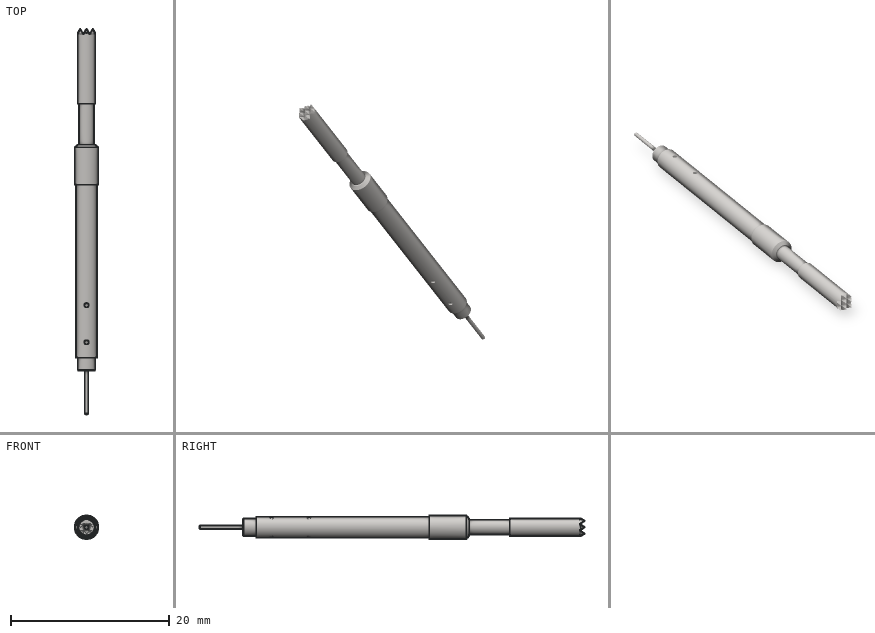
import cadquery as cq
import math


tip_y = 19.7
overall_length = 48.8
head_length = 9.5
collar_length = 5.05
collar_lead_length = 0.35
barrel_length = 21.9
sleeve_length = 1.65
head_y = tip_y - head_length
tail_y = tip_y - overall_length
barrel_y = -barrel_length
sleeve_y = barrel_y - sleeve_length

head_diameter = 2.25
neck_diameter = 1.9
collar_diameter = 3.0
collar_lead_diameter = 2.2
barrel_diameter = 2.7
sleeve_diameter = 2.25
sleeve_chamfer = 0.1
pin_diameter = 0.5
pin_dome_height = 0.15

point_pitch = 0.8
groove_depth = 0.65
groove_count = 4

dimple_diameter = 0.55
dimple_stations = (-15.25, -19.95)


def make_body():
    """Turned body: half profile in the YZ plane, revolved about Y."""
    dome_radius = ((pin_diameter / 2) ** 2 + pin_dome_height**2) / (2 * pin_dome_height)
    dome_half_angle = math.asin(pin_diameter / 2 / dome_radius) / 2
    dome_middle = (
        tail_y + dome_radius * (1 - math.cos(dome_half_angle)),
        dome_radius * math.sin(dome_half_angle),
    )
    profile = (
        cq.Workplane("YZ")
        .moveTo(tail_y, 0)
        .threePointArc(dome_middle, (tail_y + pin_dome_height, pin_diameter / 2))
        .lineTo(sleeve_y, pin_diameter / 2)
        .lineTo(sleeve_y, sleeve_diameter / 2 - sleeve_chamfer)
        .lineTo(sleeve_y + sleeve_chamfer, sleeve_diameter / 2)
        .lineTo(barrel_y, sleeve_diameter / 2)
        .lineTo(barrel_y, barrel_diameter / 2)
        .lineTo(0, barrel_diameter / 2)
        .lineTo(0, collar_diameter / 2)
        .lineTo(collar_length - collar_lead_length, collar_diameter / 2)
        .lineTo(collar_length, collar_lead_diameter / 2)
        .lineTo(collar_length, neck_diameter / 2)
        .lineTo(head_y, neck_diameter / 2)
        .lineTo(head_y, head_diameter / 2)
        .lineTo(tip_y, head_diameter / 2)
        .lineTo(tip_y, 0)
        .close()
    )
    return profile.revolve(360, (0, 0, 0), (1, 0, 0))


def make_tip_grooves():
    """Parallel V grooves along Z that meet at the ridges of the tip."""
    grooves = cq.Workplane("XY")
    for index in range(groove_count):
        center_x = (index - (groove_count - 1) / 2) * point_pitch
        groove = (
            cq.Workplane("XY")
            .moveTo(center_x - point_pitch / 2, tip_y)
            .lineTo(center_x, tip_y - groove_depth)
            .lineTo(center_x + point_pitch / 2, tip_y)
            .close()
            .extrude(head_diameter, both=True)
        )
        grooves = grooves.add(groove)
    return grooves.combine()


def cut_tip(body):
    """Cross the grooves at right angles, leaving pyramid points."""
    grooves = make_tip_grooves()
    crossing_grooves = grooves.rotate((0, 0, 0), (0, 1, 0), 90)
    return body.cut(grooves).cut(crossing_grooves)


def cut_dimples(body):
    """Hemispherical dimples on the +Z and -Z sides of the barrel."""
    for station in dimple_stations:
        for side in (1, -1):
            center = (0, station, side * barrel_diameter / 2)
            dimple = cq.Workplane("XY", origin=center).sphere(dimple_diameter / 2)
            body = body.cut(dimple)
    return body


result = cut_dimples(cut_tip(make_body()))